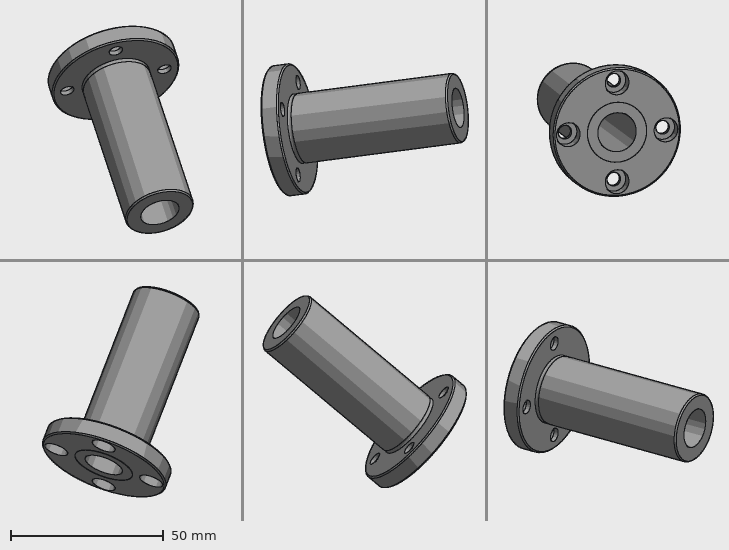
import cadquery as cq

length = 61.0
flange_diameter = 43.0
flange_thickness = 6.0
flange_chamfer = 0.5
sleeve_diameter = 23.0
sleeve_chamfer_length = 0.6
sleeve_chamfer_height = 0.35
bore_diameter = 13.0

face_recess_diameter = 20.0
face_recess_depth = 0.1

relief_width = 1.35
relief_depth = 0.3

hole_count = 4
hole_diameter = 4.5
counterbore_diameter = 8.0
counterbore_depth = 4.35
bolt_circle_diameter = 33.0

flange_radius = flange_diameter / 2
sleeve_radius = sleeve_diameter / 2
bore_radius = bore_diameter / 2
face_recess_radius = face_recess_diameter / 2
relief_end = flange_thickness + relief_width


def make_body():
    """Revolve the half section of flange, face recess, relief groove and sleeve about X."""
    section = (
        cq.Workplane("XY")
        .moveTo(face_recess_depth, bore_radius)
        .lineTo(face_recess_depth, face_recess_radius)
        .lineTo(0, face_recess_radius)
        .lineTo(0, flange_radius - flange_chamfer)
        .lineTo(flange_chamfer, flange_radius)
        .lineTo(flange_thickness - flange_chamfer, flange_radius)
        .lineTo(flange_thickness, flange_radius - flange_chamfer)
        .lineTo(flange_thickness, sleeve_radius)
        .threePointArc(
            (flange_thickness + relief_width / 2, sleeve_radius - relief_depth),
            (relief_end, sleeve_radius),
        )
        .lineTo(length - sleeve_chamfer_length, sleeve_radius)
        .lineTo(length, sleeve_radius - sleeve_chamfer_height)
        .lineTo(length, bore_radius)
        .close()
    )
    return section.revolve(360, (0, 0, 0), (1, 0, 0))


def make_hole_pattern(diameter, depth):
    """Cylinders on the bolt circle, running from the flange face to a depth."""
    centers = cq.Workplane("YZ").polarArray(bolt_circle_diameter / 2, 0, 360, hole_count)
    return centers.circle(diameter / 2).extrude(depth)


through_holes = make_hole_pattern(hole_diameter, flange_thickness)
counterbores = make_hole_pattern(counterbore_diameter, counterbore_depth)
result = make_body().cut(through_holes).cut(counterbores)